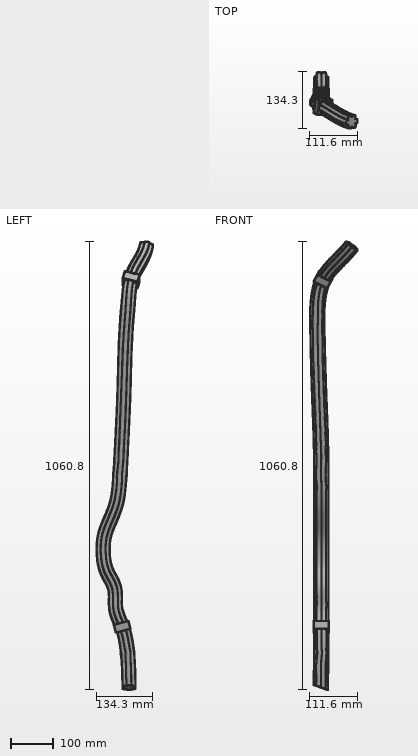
import cadquery as cq
import math

STRAND_RADIUS = 5.9
STRAND_RING_RADIUS = 11.2
STRAND_COUNT = 6
STRAND_PITCH = 360 / STRAND_COUNT

BAND_WIDTH = 36.0
BAND_LENGTH = 19.0

END_SLOPE = 20
END_CENTRE = (-34.0, -10.0, -523.0)
CUTTER_SIZE = 106

CENTRELINE = [
    (-33.0, -10.0, -547.0),
    (-33.0, -10.0, -499.0),
    (-32.0, -6.0, -441.0),
    (-32.0, 6.0, -380.0),
    (-32.0, 21.0, -339.0),
    (-32.0, 24.0, -288.0),
    (-32.0, 42.0, -249.0),
    (-32.0, 51.0, -208.0),
    (-32.0, 48.0, -163.0),
    (-32.0, 37.0, -134.0),
    (-32.0, 20.0, -89.0),
    (-32.0, 13.0, -38.0),
    (-33.0, 7.0, 53.0),
    (-37.0, 2.0, 173.0),
    (-41.0, -3.0, 326.0),
    (-38.0, -10.0, 403.0),
    (-28.0, -15.0, 440.0),
    (3.0, -34.0, 481.0),
    (40.0, -51.0, 521.0),
]
LOWER_BAND_POINT = 3
UPPER_BAND_POINT = 16


def polar(radius, degrees):
    angle = math.radians(degrees)
    return radius * math.cos(angle), radius * math.sin(angle)


def bundle_outline(plane):
    """Closed outline of the strands, with a valley between each pair."""
    half_pitch = STRAND_PITCH / 2
    half_spacing = STRAND_RING_RADIUS * math.sin(math.radians(half_pitch))
    valley_radius = STRAND_RING_RADIUS * math.cos(math.radians(half_pitch))
    valley_radius += math.sqrt(STRAND_RADIUS**2 - half_spacing**2)
    outline = cq.Workplane(plane).moveTo(*polar(valley_radius, -half_pitch))
    for i in range(STRAND_COUNT):
        angle = i * STRAND_PITCH
        crest = polar(STRAND_RING_RADIUS + STRAND_RADIUS, angle)
        valley = polar(valley_radius, angle + half_pitch)
        outline = outline.threePointArc(crest, valley)
    return outline.close()


def make_bundle():
    path = cq.Workplane("XY").spline(CENTRELINE)
    start = path.val().tangentAt(0)
    plane = cq.Plane(origin=CENTRELINE[0], xDir=(1, 0, 0), normal=start.toTuple())
    return bundle_outline(plane).sweep(path)


def make_band(index):
    """Square block centred on a centreline point and aligned with the bundle."""
    before = cq.Vector(*CENTRELINE[index - 1])
    after = cq.Vector(*CENTRELINE[index + 1])
    direction = after - before
    across = cq.Vector(0, 1, 0).cross(direction)
    plane = cq.Plane(origin=CENTRELINE[index], xDir=across, normal=direction)
    return cq.Workplane(plane).box(BAND_WIDTH, BAND_WIDTH, BAND_LENGTH)


def make_end_cutter():
    """Block whose slanted top face trims the lower end, lowest at +X."""
    cutter = cq.Workplane("XY").box(CUTTER_SIZE, CUTTER_SIZE, CUTTER_SIZE, centered=(True, True, False))
    cutter = cutter.translate((0, 0, -CUTTER_SIZE))
    return cutter.rotate((0, 0, 0), (0, 1, 0), END_SLOPE).translate(END_CENTRE)


bundle = make_bundle().cut(make_end_cutter())
result = bundle.union(make_band(LOWER_BAND_POINT)).union(make_band(UPPER_BAND_POINT))